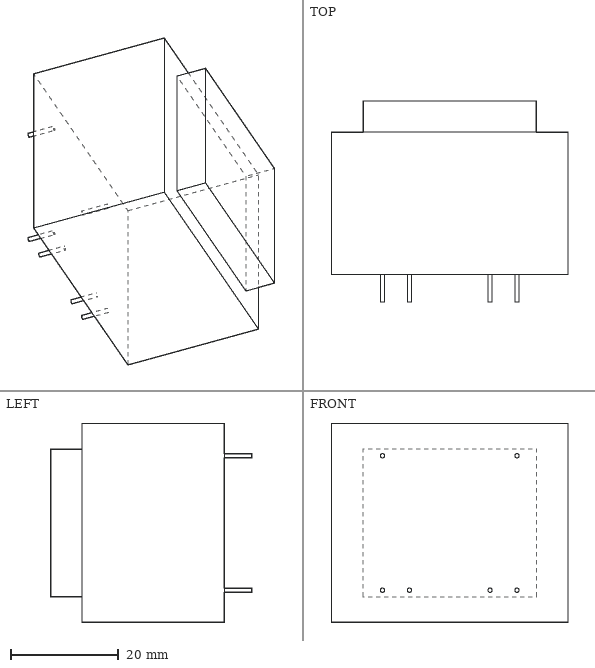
import cadquery as cq

case_width = 44.0
case_height = 37.0
case_depth = 26.5
wall = 0.8

core_width = 32.2
core_height = 27.5
core_projection = 5.8

pin_diameter = 0.8
pin_projection = 5.1
pin_pitch = 5.0
pin_row_z = 2.5 * pin_pitch
outer_pin_x = 2.5 * pin_pitch
inner_pin_x = 1.5 * pin_pitch
upper_pins = [-outer_pin_x, outer_pin_x]
lower_pins = [-outer_pin_x, -inner_pin_x, inner_pin_x, outer_pin_x]


def block(width, height, y_start, y_end):
    """Box centred on X and Z that spans y_start to y_end."""
    depth = y_end - y_start
    return cq.Workplane("XY").box(width, depth, height).translate((0, y_start + depth / 2, 0))


def make_potting():
    """Resin that fills the inside of the case flush with its rim."""
    return block(case_width - 2 * wall, case_height - 2 * wall, 0, case_depth - wall)


def make_case():
    """Case of even wall thickness around the potting, open toward -Y."""
    return block(case_width, case_height, 0, case_depth).cut(make_potting())


def make_core():
    """Core block on the closed side of the case."""
    return block(core_width, core_height, case_depth, case_depth + core_projection)


def make_pins():
    """Round pins from the potting surface out to -Y: two above, four below."""
    places = [(x, pin_row_z) for x in upper_pins]
    places += [(x, -pin_row_z) for x in lower_pins]
    return cq.Workplane("XZ").pushPoints(places).circle(pin_diameter / 2).extrude(pin_projection)


result = make_case()
for piece in [make_potting(), make_core(), make_pins()]:
    result = result.union(piece, clean=False)